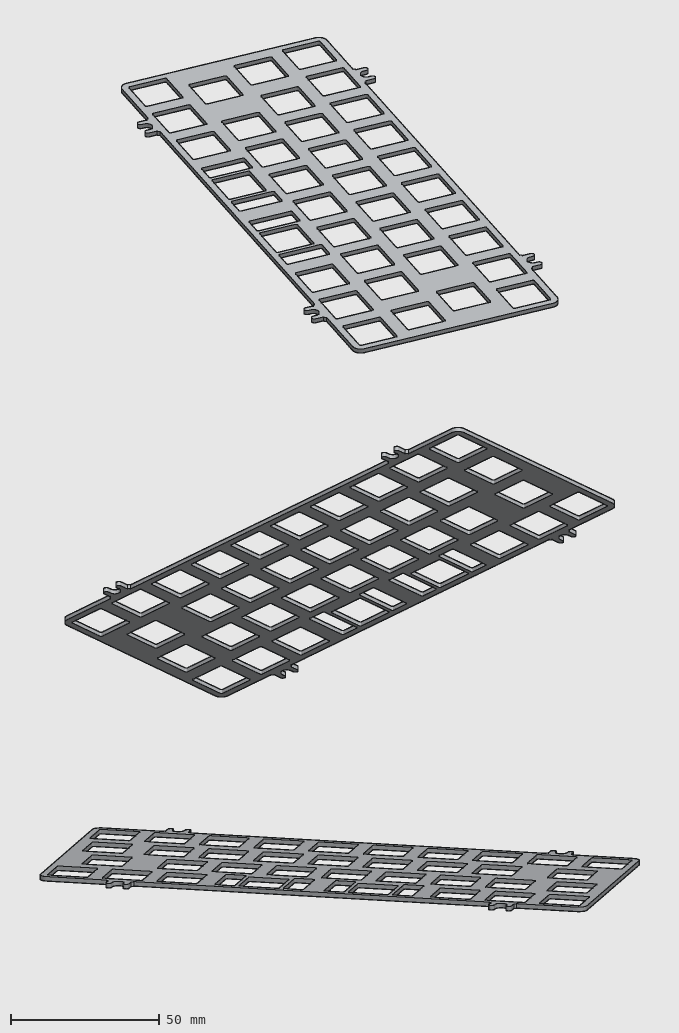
import cadquery as cq

KEY_PITCH = 19.05
COLUMNS = 10
ROWS = 4
EDGE_TRIM = 0.025
PLATE_WIDTH = COLUMNS * KEY_PITCH - 2 * EDGE_TRIM
PLATE_DEPTH = ROWS * KEY_PITCH - 2 * EDGE_TRIM
THICKNESS = 1.6
PLATE_CORNER_RADIUS = 3.0

SWITCH_SIZE = 14.0
OPENING_CORNER_RADIUS = 0.5
ROW_KEY_WIDTHS = [
    [1] * 10,
    [1.25] + [1] * 7 + [1.75],
    [1.75] + [1] * 7 + [1.25],
    [1] * 3 + [2, 2] + [1] * 3,
]

STABILISED_KEY_WIDTH = 2
STABILISER_OFFSET = 11.938
STABILISER_WIDTH = 7.0
STABILISER_LENGTH = 16.0

OVERALL_DEPTH = 85.65
TAB_LENGTH = (OVERALL_DEPTH - PLATE_DEPTH) / 2
TAB_CENTRE_X = 3.5 * KEY_PITCH
TAB_SLOT_WIDTH = 4.0
PRONG_WIDTH = 2.0
TAB_WIDTH = TAB_SLOT_WIDTH + 2 * PRONG_WIDTH
TAB_SLOT_FLOOR = 0.75
TAB_ROOT_RADIUS = 0.75


def rounded_block(width, depth, radius, x=0.0, y=0.0):
    """A full-thickness block with rounded vertical edges, centred on (x, y)."""
    block = cq.Workplane("XY").center(x, y).rect(width, depth).extrude(THICKNESS)
    return block.edges("|Z").fillet(radius)


def key_centres():
    """Yield x, y and width in units for every key of the layout."""
    for row, widths in enumerate(ROW_KEY_WIDTHS):
        y = ((ROWS - 1) / 2 - row) * KEY_PITCH
        left = -COLUMNS / 2
        for width in widths:
            yield (left + width / 2) * KEY_PITCH, y, width
            left += width


def forked_tab():
    """A tab at the middle of the back edge: two round-tipped prongs and a round-bottomed slot."""
    edge = PLATE_DEPTH / 2
    tip = edge + TAB_LENGTH
    tip_start = tip - PRONG_WIDTH / 2
    prong_x = (TAB_SLOT_WIDTH + PRONG_WIDTH) / 2
    half_width = TAB_WIDTH / 2
    slot_radius = TAB_SLOT_WIDTH / 2
    slot_floor = edge + TAB_SLOT_FLOOR
    root = half_width + TAB_ROOT_RADIUS
    inset = edge - TAB_ROOT_RADIUS
    return (
        cq.Workplane("XY")
        .moveTo(-root, inset)
        .lineTo(-root, edge)
        .radiusArc((-half_width, edge + TAB_ROOT_RADIUS), TAB_ROOT_RADIUS)
        .lineTo(-half_width, tip_start)
        .threePointArc((-prong_x, tip), (-slot_radius, tip_start))
        .lineTo(-slot_radius, slot_floor + slot_radius)
        .threePointArc((0, slot_floor), (slot_radius, slot_floor + slot_radius))
        .lineTo(slot_radius, tip_start)
        .threePointArc((prong_x, tip), (half_width, tip_start))
        .lineTo(half_width, edge + TAB_ROOT_RADIUS)
        .radiusArc((root, edge), TAB_ROOT_RADIUS)
        .lineTo(root, inset)
        .close()
        .extrude(THICKNESS)
    )


def plate_with_tabs():
    plate = rounded_block(PLATE_WIDTH, PLATE_DEPTH, PLATE_CORNER_RADIUS)
    back_tab = forked_tab()
    front_tab = back_tab.mirror("XZ")
    for x in (-TAB_CENTRE_X, TAB_CENTRE_X):
        plate = plate.union(back_tab.translate((x, 0, 0)))
        plate = plate.union(front_tab.translate((x, 0, 0)))
    return plate


def cut_key_openings(plate):
    for x, y, width in key_centres():
        plate = plate.cut(rounded_block(SWITCH_SIZE, SWITCH_SIZE, OPENING_CORNER_RADIUS, x, y))
        if width == STABILISED_KEY_WIDTH:
            slot_y = y + (STABILISER_LENGTH - SWITCH_SIZE) / 2
            for slot_x in (x - STABILISER_OFFSET, x + STABILISER_OFFSET):
                slot = rounded_block(
                    STABILISER_WIDTH, STABILISER_LENGTH, OPENING_CORNER_RADIUS, slot_x, slot_y
                )
                plate = plate.cut(slot)
    return plate


result = cut_key_openings(plate_with_tabs())